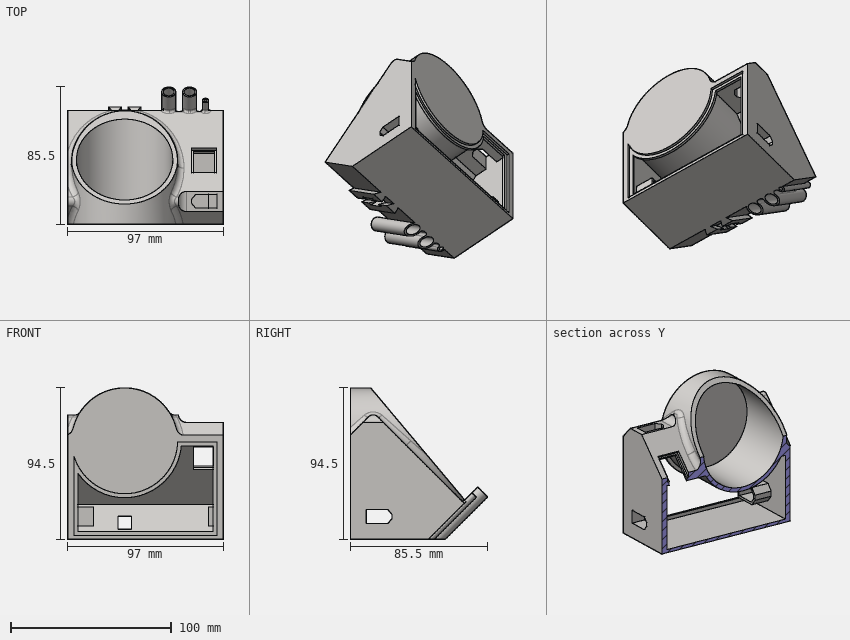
import cadquery as cq
import math

SQRT2 = math.sqrt(2)

WIDTH = 97.0
FRONT_HEIGHT = 65.05
TOP_SUM = 93.4
BACK_GAP = 48.4
RIDGE_RADIUS = 4.0

DRUM_X = 35.5
DRUM_RADIUS = 33.0
TOTAL_HEIGHT = 94.45
DRUM_Z = TOTAL_HEIGHT - DRUM_RADIUS
DRUM_TOP_LENGTH = 12.6
DRUM_CUT_ANGLE = 40.0
DRUM_FILLET = 4.0
BORE_DIAMETER = 60.0
DRUM_FLOOR = 3.0

SIDE_WALL = 4.0
CAVITY_FLOOR = 2.45
CAVITY_TOP = 60.75
TOP_WALL = 4.0
BACK_WALL = 3.0
LIP_WIDTH = 2.45
LIP_SETBACK = 1.5
LIP_THICKNESS = 1.5

FLAT_HEIGHT = 72.95
FLAT_LEFT = 69.0
FLAT_FILLET = 5.0

SLOT_NEAR_Y = 10.0
SLOT_WIDTH = 8.6
SLOT_LENGTH = 15.9
SLOT_POINT_LENGTH = 2.6
SLOT_TIP_WIDTH = 2.4
SIDE_SLOT_BOTTOM = 10.0

BLOCK_MARGIN = 1.5
LEFT_BLOCK_END = 16.2
RIGHT_BLOCK_END = 87.6

WINDOW_X = 84.9
WINDOW_Y = 39.9
WINDOW_RECESS_WIDTH = 15.4
WINDOW_RECESS_LENGTH = 21.8
WINDOW_RECESS_DEPTH = 2.2
WINDOW_WIDTH = 13.0
WINDOW_LENGTH = 19.9

RAIL_LEFT_EDGES = (25.5, 37.6)
RAIL_WIDTH = 8.1
RAIL_HEIGHT = 3.2
RAIL_UNDERCUT_ANGLE = 30.0
HOLE_WIDTH = 8.3
HOLE_BOTTOM = 6.45
HOLE_HEIGHT = 7.9

TUBES = (
    (62.95, 8.86, 6.75, 13.1),
    (75.9, 8.86, 6.75, 13.1),
    (85.85, 4.0, 2.0, 8.1),
)
TUBE_SINK = 1.33
TUBE_FILLET = 1.5
CORNER_ROUND = 1.3

NEAR = 0.1
OVERRUN = 10.0
FAR = 150.0


def box(x_min, x_max, y_min, y_max, z_min, z_max):
    size = (x_max - x_min, y_max - y_min, z_max - z_min)
    return cq.Workplane("XY").box(*size, centered=False).translate((x_min, y_min, z_min))


def side_prism(points, x_min, x_max):
    """Prism along X over an outline of (y, z) points."""
    return cq.Workplane("YZ").polyline(points).close().extrude(x_max - x_min).translate((x_min, 0, 0))


def drum_cylinder(radius, y_min, y_max):
    plane = cq.Plane(origin=(DRUM_X, y_min, DRUM_Z), xDir=(1, 0, 0), normal=(0, 1, 0))
    return cq.Workplane(plane).circle(radius).extrude(y_max - y_min)


def below_back_wall(gap):
    """Everything on the inner side of the plane y - z = gap."""
    return side_prism([(gap - FAR, -FAR), (gap + FAR, FAR), (-FAR, FAR), (-FAR, -FAR)], -FAR, FAR)


def shell_body():
    """Housing and drum blended together, oversized at first so that the blend runs past every side."""
    ridge_y = (TOP_SUM - FRONT_HEIGHT) / 2
    ridge_z = TOP_SUM - ridge_y
    wedge = side_prism(
        [
            (-OVERRUN, 0),
            (TOP_SUM, 0),
            (ridge_y, ridge_z),
            (-OVERRUN, FRONT_HEIGHT - OVERRUN),
        ],
        -OVERRUN,
        WIDTH,
    )
    wedge = wedge.edges("|X and >Z").fillet(RIDGE_RADIUS)
    body = wedge.union(drum_cylinder(DRUM_RADIUS, -OVERRUN, TOP_SUM))
    body = body.edges("not(%LINE or %CIRCLE)").fillet(DRUM_FILLET)

    body = body.intersect(box(0, WIDTH, 0, FAR, 0, FAR)).intersect(below_back_wall(BACK_GAP))
    drum_cut_foot = DRUM_TOP_LENGTH + TOTAL_HEIGHT * math.tan(math.radians(DRUM_CUT_ANGLE))
    keep = [(0, 0), (drum_cut_foot, 0), (DRUM_TOP_LENGTH, TOTAL_HEIGHT), (0, TOTAL_HEIGHT)]
    return body.intersect(side_prism(keep, 0, WIDTH))


def ridge_flat_cut():
    cut = box(FLAT_LEFT, FAR, -OVERRUN, TOP_SUM, FLAT_HEIGHT, FAR)
    return cut.edges("|Y and <X and <Z").fillet(FLAT_FILLET)


def slope_plane(x, total, gap):
    """Plane parallel to the top wall, through the point at x with y + z = total and y - z = gap."""
    origin = (x, (total + gap) / 2, (total - gap) / 2)
    return cq.Workplane(cq.Plane(origin=origin, xDir=(1, 0, 0), normal=(0, 1, 1)))


def tube_rod(x, outer, diameter, length):
    """Rod on a tube's axis, from below the part to the given length past the top wall."""
    gap = BACK_GAP + SQRT2 * (outer / 2 - TUBE_SINK)
    rod = slope_plane(x, TOP_SUM + SQRT2 * length, gap).circle(diameter / 2).extrude(-FAR)
    return rod.intersect(box(0, WIDTH, 0, FAR, 0, FAR))


def add_tubes(body):
    for x, outer, bore, length in TUBES:
        body = body.union(tube_rod(x, outer, outer, length))
    return body


def blend_tubes(body):
    """Round the wall corner between the tubes, then fillet the tubes' feet along that corner."""
    corner = cq.Vector(0, (TOP_SUM + BACK_GAP) / 2, (TOP_SUM - BACK_GAP) / 2)
    first_x = TUBES[0][0]
    last_x = TUBES[-1][0]
    straight = cq.selectors.BoxSelector(
        (first_x, corner.y - NEAR, corner.z - NEAR),
        (last_x, corner.y + NEAR, corner.z + NEAR),
    )
    body = body.edges("|X").edges(straight).fillet(CORNER_ROUND)

    reach = 2 * CORNER_ROUND
    feet = cq.selectors.BoxSelector(
        (first_x - reach, corner.y - reach, corner.z - reach),
        (last_x + reach, corner.y + reach, corner.z + reach),
    )
    return body.edges("not %LINE").edges(feet).fillet(TUBE_FILLET)


def cut_tube_bores(body):
    for x, outer, bore, length in TUBES:
        body = body.cut(tube_rod(x, outer, bore, length))
    return body


def rail(left):
    """Dovetail rail down the back wall, wider at its outer face than at the wall."""
    right = left + RAIL_WIDTH
    inset = RAIL_HEIGHT * math.tan(math.radians(RAIL_UNDERCUT_ANGLE))
    outline = [
        (left, RAIL_HEIGHT),
        (right, RAIL_HEIGHT),
        (right - inset, 0),
        (left + inset, 0),
    ]
    bar = slope_plane(0, TOP_SUM, BACK_GAP).polyline(outline).close().extrude(-FAR)
    return bar.intersect(box(0, WIDTH, 0, FAR, 0, FAR))


def rail_hole():
    middle = (RAIL_LEFT_EDGES[0] + RAIL_LEFT_EDGES[1] + RAIL_WIDTH) / 2
    half = HOLE_WIDTH / 2
    hole_top = HOLE_BOTTOM + HOLE_HEIGHT
    return box(middle - half, middle + half, BACK_GAP - OVERRUN, FAR, HOLE_BOTTOM, hole_top)


def cavity_outline(inset, y_min, y_max):
    """Front outline of the cavity shrunk by the inset, extruded along Y and kept clear of the drum."""
    room = box(
        SIDE_WALL + inset,
        WIDTH - SIDE_WALL - inset,
        y_min,
        y_max,
        CAVITY_FLOOR + inset,
        CAVITY_TOP - inset,
    )
    return room.cut(drum_cylinder(DRUM_RADIUS + inset, -OVERRUN, FAR))


def cavity():
    top_sum = TOP_SUM - TOP_WALL * SQRT2
    back_gap = BACK_GAP - BACK_WALL * SQRT2
    below_top_wall = [(top_sum - FAR, FAR), (top_sum + FAR, -FAR), (-FAR, -FAR)]
    room = cavity_outline(0, 0, FAR).intersect(side_prism(below_top_wall, 0, WIDTH))
    room = room.intersect(below_back_wall(back_gap))

    lip_back = LIP_SETBACK + LIP_THICKNESS
    lip = cavity_outline(0, LIP_SETBACK, lip_back).cut(cavity_outline(LIP_WIDTH, LIP_SETBACK, lip_back))
    return room.cut(lip)


def pointed_slot(plane_name):
    """Slot outline with its square end at the local origin and its point along local +x."""
    shoulder = SLOT_LENGTH - SLOT_POINT_LENGTH
    tip_low = (SLOT_WIDTH - SLOT_TIP_WIDTH) / 2
    tip_high = tip_low + SLOT_TIP_WIDTH
    outline = [
        (0, 0),
        (shoulder, 0),
        (SLOT_LENGTH, tip_low),
        (SLOT_LENGTH, tip_high),
        (shoulder, SLOT_WIDTH),
        (0, SLOT_WIDTH),
    ]
    return cq.Workplane(plane_name).polyline(outline).close()


def side_slot(x_min, x_max, margin=0):
    """Slot along X with its point at the back, grown by the margin all around."""
    outline = pointed_slot("YZ")
    if margin:
        outline = outline.offset2D(margin, "intersection")
    return outline.extrude(x_max - x_min).translate((x_min, SLOT_NEAR_Y, SIDE_SLOT_BOTTOM))


def blocks():
    left = side_slot(0, LEFT_BLOCK_END, BLOCK_MARGIN)
    return left.union(side_slot(RIGHT_BLOCK_END, WIDTH, BLOCK_MARGIN))


def top_slot():
    """Slot down through the flat with its point to the left, its square end in line with the side wall."""
    slot = pointed_slot("XY").extrude(FLAT_HEIGHT - CAVITY_TOP).mirror("YZ")
    return slot.translate((WIDTH - SIDE_WALL, SLOT_NEAR_Y, CAVITY_TOP))


def window():
    window_gap = 2 * WINDOW_Y - TOP_SUM
    face = slope_plane(WINDOW_X, TOP_SUM, window_gap)
    recess = face.rect(WINDOW_RECESS_WIDTH, WINDOW_RECESS_LENGTH).extrude(-WINDOW_RECESS_DEPTH)
    return recess.union(face.rect(WINDOW_WIDTH, WINDOW_LENGTH).extrude(-TOP_WALL))


body = shell_body()
body = body.cut(ridge_flat_cut())
body = blend_tubes(add_tubes(body))
for left_edge in RAIL_LEFT_EDGES:
    body = body.union(rail(left_edge))
body = body.cut(drum_cylinder(BORE_DIAMETER / 2, DRUM_FLOOR, FAR))
body = body.cut(cavity()).union(blocks())
body = body.cut(side_slot(0, WIDTH)).cut(top_slot())
body = body.cut(window()).cut(rail_hole())
result = cut_tube_bores(body)